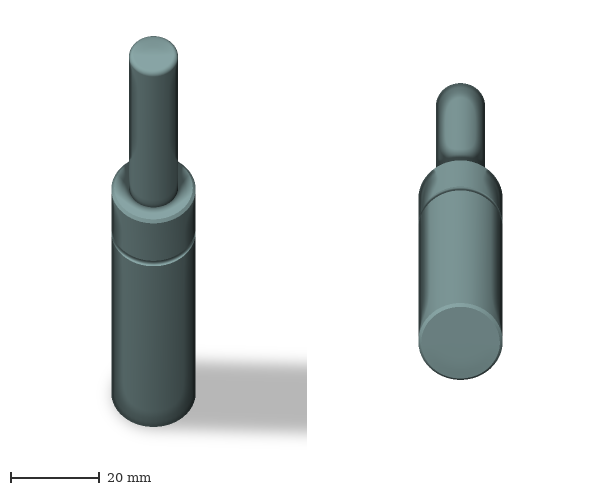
import cadquery as cq

total_height = 130.0
body_diameter = 19.0
body_height = 79.0
rod_diameter = 11.0

body_chamfer = 0.6
rod_tip_fillet = 1.0

groove_radius = 1.0
groove_height = 63.0


def make_body():
    """Cylinder with both end edges chamfered."""
    body = cq.Workplane("XY").circle(body_diameter / 2).extrude(body_height)
    return body.faces("<Z or >Z").edges().chamfer(body_chamfer)


def make_rod():
    """Thin rod rising from the body, with a rounded tip."""
    rod = (
        cq.Workplane("XY", origin=(0, 0, body_height))
        .circle(rod_diameter / 2)
        .extrude(total_height - body_height)
    )
    return rod.faces(">Z").edges().fillet(rod_tip_fillet)


def make_groove_ring():
    """Ring of round section, centred on the body surface."""
    return (
        cq.Workplane("XZ")
        .center(body_diameter / 2, groove_height)
        .circle(groove_radius)
        .revolve(360, (-body_diameter / 2, 0), (-body_diameter / 2, 1))
    )


result = make_body().union(make_rod()).cut(make_groove_ring())